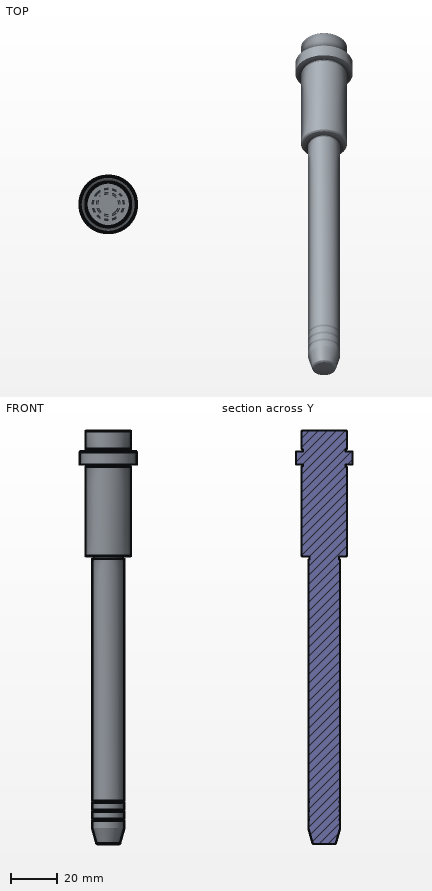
import cadquery as cq

total_length = 180.0
flange_diameter = 25.0
body_diameter = 20.0
stem_diameter = 14.0
tip_diameter = 10.0

head_length = 9.0
flange_thickness = 6.0
sleeve_length = 40.0
tip_length = 7.0

edge_chamfer = 0.5
tip_chamfer = 0.5

relief_width = 1.0
relief_depth = 0.5

ring_count = 3
ring_pitch = 4.0
first_ring_height = 10.6
ring_width = 1.0
ring_depth = 0.27

flange_top = total_length - head_length
flange_bottom = flange_top - flange_thickness
sleeve_bottom = flange_bottom - sleeve_length


def cylinder(diameter, bottom, top):
    return cq.Workplane("XY").workplane(offset=bottom).circle(diameter / 2).extrude(top - bottom)


def groove(diameter, depth, bottom, width):
    """Ring-shaped cutter that reaches the given depth below a diameter."""
    outer = cylinder(diameter + 2 * depth, bottom, bottom + width)
    return outer.cut(cylinder(diameter - 2 * depth, bottom, bottom + width))


def shoulder_relief(diameter, shoulder, direction):
    """Cutter for a groove beside a shoulder, its far half sloping out to the full diameter.

    A direction of 1 puts the groove above the shoulder and -1 puts it below.
    """
    radius = diameter / 2
    floor_radius = radius - relief_depth
    floor_end = shoulder + direction * relief_width / 2
    slope_end = shoulder + direction * relief_width
    profile = [(floor_radius, shoulder), (floor_radius, floor_end), (radius, slope_end), (radius, shoulder)]
    return cq.Workplane("XZ").polyline(profile).close().revolve(360, (0, 0), (0, 1))


def v_groove(diameter, depth, middle, width):
    """Ring-shaped cutter with a V section, centred on the given height."""
    radius = diameter / 2
    profile = [(radius, middle - width / 2), (radius - depth, middle), (radius, middle + width / 2)]
    return cq.Workplane("XZ").polyline(profile).close().revolve(360, (0, 0), (0, 1))


tip = (
    cq.Workplane("XY")
    .circle(tip_diameter / 2)
    .workplane(offset=tip_length)
    .circle(stem_diameter / 2)
    .loft(combine=True)
    .faces("<Z")
    .chamfer(tip_chamfer)
)
stem = cylinder(stem_diameter, tip_length, sleeve_bottom)
stem = stem.cut(groove(stem_diameter, relief_depth, sleeve_bottom - relief_width, relief_width))
for index in range(ring_count):
    ring_middle = first_ring_height + index * ring_pitch
    stem = stem.cut(v_groove(stem_diameter, ring_depth, ring_middle, ring_width))

sleeve = cylinder(body_diameter, sleeve_bottom, flange_bottom).faces("<Z").chamfer(edge_chamfer)
sleeve = sleeve.cut(shoulder_relief(body_diameter, flange_bottom, -1))

flange = cylinder(flange_diameter, flange_bottom, flange_top).faces(">Z").chamfer(edge_chamfer)

head = cylinder(body_diameter, flange_top, total_length).faces(">Z").chamfer(edge_chamfer)
head = head.cut(shoulder_relief(body_diameter, flange_top, 1))

result = tip.union(stem).union(sleeve).union(flange).union(head)